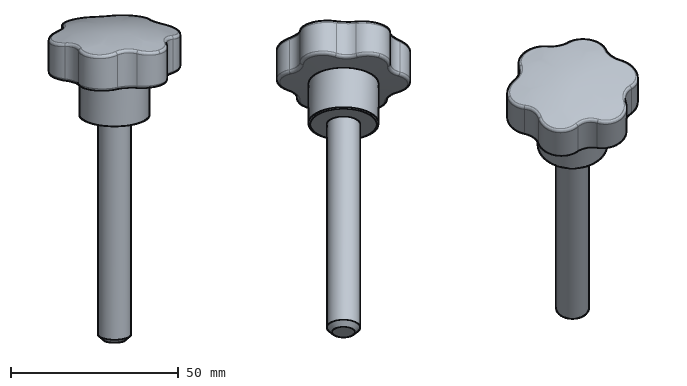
import cadquery as cq
import math

TOTAL_LENGTH = 98.0
HEAD_HEIGHT = 14.9
HEAD_BOTTOM = TOTAL_LENGTH - HEAD_HEIGHT
BOSS_BOTTOM = 70.2

LOBE_COUNT = 6
HEAD_RADIUS = 20.0
LOBE_RADIUS = 7.1
VALLEY_RADIUS = 6.0
DOME_RADIUS = 80.4
UNDERSIDE_ANGLE = 3.5
RIM_FILLET = 1.0

BOSS_DIAMETER = 21.0
BOSS_CHAMFER_WIDTH = 0.6
BOSS_CHAMFER_HEIGHT = 0.3

ROD_DIAMETER = 10.0
ROD_CHAMFER = 1.6


def polar(radius, angle):
    return (radius * math.cos(angle), radius * math.sin(angle))


def lobed_outline():
    """Closed outline of convex lobes joined by tangent concave valleys, first lobe on +X."""
    half_pitch = math.pi / LOBE_COUNT
    lobe_distance = HEAD_RADIUS - LOBE_RADIUS
    half_spacing = lobe_distance * math.sin(half_pitch)
    center_gap = LOBE_RADIUS + VALLEY_RADIUS
    valley_distance = lobe_distance * math.cos(half_pitch) + math.sqrt(center_gap**2 - half_spacing**2)
    valley_floor = valley_distance - VALLEY_RADIUS

    lobe_share = LOBE_RADIUS / center_gap
    valley_x, valley_y = polar(valley_distance, half_pitch)
    tangent_x = lobe_distance + (valley_x - lobe_distance) * lobe_share
    tangent_y = valley_y * lobe_share
    tangent_radius = math.hypot(tangent_x, tangent_y)
    tangent_angle = math.atan2(tangent_y, tangent_x)

    outline = cq.Workplane("XY", origin=(0, 0, HEAD_BOTTOM)).moveTo(*polar(tangent_radius, -tangent_angle))
    for index in range(LOBE_COUNT):
        lobe_angle = 2 * half_pitch * index
        valley_angle = lobe_angle + half_pitch
        next_lobe_angle = lobe_angle + 2 * half_pitch
        outline = outline.threePointArc(
            polar(HEAD_RADIUS, lobe_angle), polar(tangent_radius, lobe_angle + tangent_angle)
        )
        outline = outline.threePointArc(
            polar(valley_floor, valley_angle), polar(tangent_radius, next_lobe_angle - tangent_angle)
        )
    return outline.close()


def make_head():
    """Lobed prism with a domed top and a slightly conical underside, rounded along both rims."""
    dome_drop = DOME_RADIUS - math.sqrt(DOME_RADIUS**2 - HEAD_RADIUS**2)
    mid_drop = DOME_RADIUS - math.sqrt(DOME_RADIUS**2 - (HEAD_RADIUS / 2) ** 2)
    underside_rise = HEAD_RADIUS * math.tan(math.radians(UNDERSIDE_ANGLE))
    envelope = (
        cq.Workplane("XZ")
        .moveTo(0, HEAD_BOTTOM)
        .lineTo(HEAD_RADIUS, HEAD_BOTTOM + underside_rise)
        .lineTo(HEAD_RADIUS, TOTAL_LENGTH - dome_drop)
        .threePointArc((HEAD_RADIUS / 2, TOTAL_LENGTH - mid_drop), (0, TOTAL_LENGTH))
        .close()
        .revolve(360, (0, 0, 0), (0, 1, 0))
    )
    head = lobed_outline().extrude(HEAD_HEIGHT).intersect(envelope)
    return head.edges("not |Z").fillet(RIM_FILLET)


def make_stem():
    """Boss and rod turned as one body, reaching up into the head."""
    boss_radius = BOSS_DIAMETER / 2
    rod_radius = ROD_DIAMETER / 2
    stem_top = HEAD_BOTTOM + HEAD_HEIGHT / 2
    profile = [
        (0, 0),
        (rod_radius - ROD_CHAMFER, 0),
        (rod_radius, ROD_CHAMFER),
        (rod_radius, BOSS_BOTTOM),
        (boss_radius - BOSS_CHAMFER_WIDTH, BOSS_BOTTOM),
        (boss_radius, BOSS_BOTTOM + BOSS_CHAMFER_HEIGHT),
        (boss_radius, stem_top),
        (0, stem_top),
    ]
    return cq.Workplane("XZ").polyline(profile).close().revolve(360, (0, 0, 0), (0, 1, 0))


result = make_head().union(make_stem())